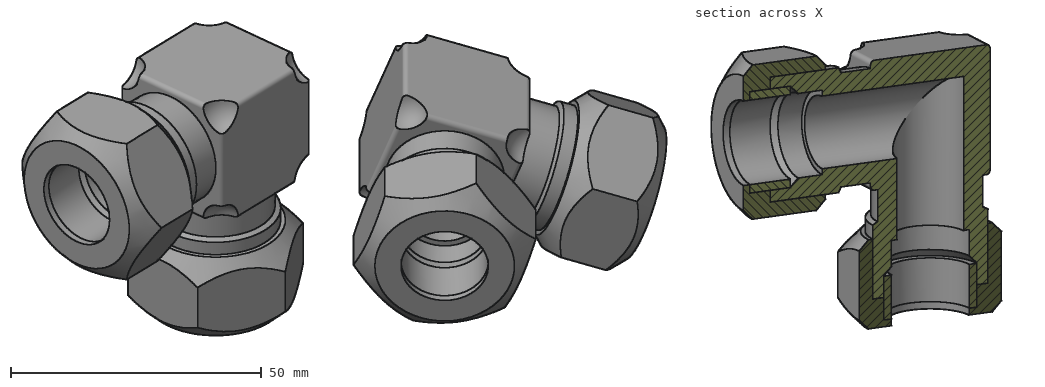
import cadquery as cq
import math

hex_corners = 36.95
hex_flats = hex_corners * math.sqrt(3) / 2
outer_length = 58.0
arm_length = outer_length - hex_flats / 2

block_side = 26.95
block_fillet = 1.0
corner_scoop_radius = 5.0
scoop_turn = 45

neck_radius = 11.9
neck_end = 20.0
thread_radius = 13.0
shoulder_length = 0.6
thread_end = 35.95
bore_radius = 7.5
tube_stop = 24.35

nut_length = 18.5
nut_face_radius = 13.9
tube_radius = 8.7
nut_mouth_depth = 1.5

ring_length = 9.05
ring_outer_radius = 10.45

nut_start = arm_length - nut_length
ring_outer_end = arm_length - nut_mouth_depth
ring_inner_end = ring_outer_end - ring_length

arm_angles = [90, 180]


def turn_to_arm(shape, angle):
    return shape.rotate((0, 0, 0), (1, 0, 0), angle)


def cylinder(radius, start, end):
    """Cylinder along +Z between two distances from the block centre."""
    return cq.Workplane("XY").workplane(offset=start).circle(radius).extrude(end - start)


def revolve_profile(points):
    """Solid of revolution about Z from (radius, distance) points."""
    return cq.Workplane("XZ").polyline(points).close().revolve(360, (0, 0), (0, 1))


def make_block():
    """Rounded cube with a spherical scoop at every corner."""
    block = cq.Workplane("XY").box(block_side, block_side, block_side)
    corners = [corner.Center() for corner in block.vertices().vals()]
    block = block.edges().fillet(block_fillet)
    scoop = cq.Workplane("XY").sphere(corner_scoop_radius).rotate((0, 0, 0), (0, 0, 1), scoop_turn)
    for corner in corners:
        block = block.cut(scoop.translate(corner))
    return block


def make_stem():
    """Narrow neck widening in a short cone to the threaded end of one arm."""
    return revolve_profile([
        (0, 0),
        (neck_radius, 0),
        (neck_radius, neck_end),
        (thread_radius, neck_end + shoulder_length),
        (thread_radius, thread_end),
        (0, thread_end),
    ])


def make_socket():
    """Cavity of one arm: tube socket, 45 degree seat and the hole for the clamping ring."""
    seat_depth = ring_outer_radius - tube_radius
    return revolve_profile([
        (0, tube_stop),
        (tube_radius, tube_stop),
        (tube_radius, ring_inner_end - seat_depth),
        (ring_outer_radius, ring_inner_end),
        (ring_outer_radius, thread_end),
        (0, thread_end),
    ])


def make_bore():
    """Bore of equal arms that meet in a mitre at the block centre."""
    path = cq.Workplane("YZ").polyline([(-thread_end, 0), (0, 0), (0, -thread_end)])
    start = cq.Workplane("XZ", origin=(0, -thread_end, 0))
    return start.circle(bore_radius).sweep(path, transition="right")


def make_elbow():
    elbow = make_block()
    for angle in arm_angles:
        elbow = elbow.union(turn_to_arm(make_stem(), angle))
    for angle in arm_angles:
        elbow = elbow.cut(turn_to_arm(make_socket(), angle))
    return elbow.cut(make_bore())


def make_nut():
    """Hexagon nut with 45 degree chamfers at both ends, bored for the stem, the ring and the tube."""
    corner_rise = hex_corners / 2 - nut_face_radius
    hexagon = cq.Workplane("XY").workplane(offset=nut_start).polygon(6, hex_corners).extrude(nut_length)
    chamfer_envelope = revolve_profile([
        (0, nut_start),
        (nut_face_radius, nut_start),
        (hex_corners / 2, nut_start + corner_rise),
        (hex_corners / 2, arm_length - corner_rise),
        (nut_face_radius, arm_length),
        (0, arm_length),
    ])
    nut = hexagon.intersect(chamfer_envelope)
    nut = nut.cut(cylinder(thread_radius, nut_start, thread_end))
    nut = nut.cut(cylinder(ring_outer_radius, thread_end, ring_outer_end))
    return nut.cut(cylinder(tube_radius, ring_outer_end, arm_length))


def make_ring():
    """Clamping ring around the tube."""
    ring = cylinder(ring_outer_radius, ring_inner_end, ring_outer_end)
    return ring.cut(cylinder(tube_radius, ring_inner_end, ring_outer_end))


elbow = make_elbow()
nuts = [turn_to_arm(make_nut(), angle) for angle in arm_angles]
rings = [turn_to_arm(make_ring(), angle) for angle in arm_angles]

result = cq.Compound.makeCompound([
    elbow.val(),
    *[nut.val() for nut in nuts],
    *[ring.val() for ring in rings],
])